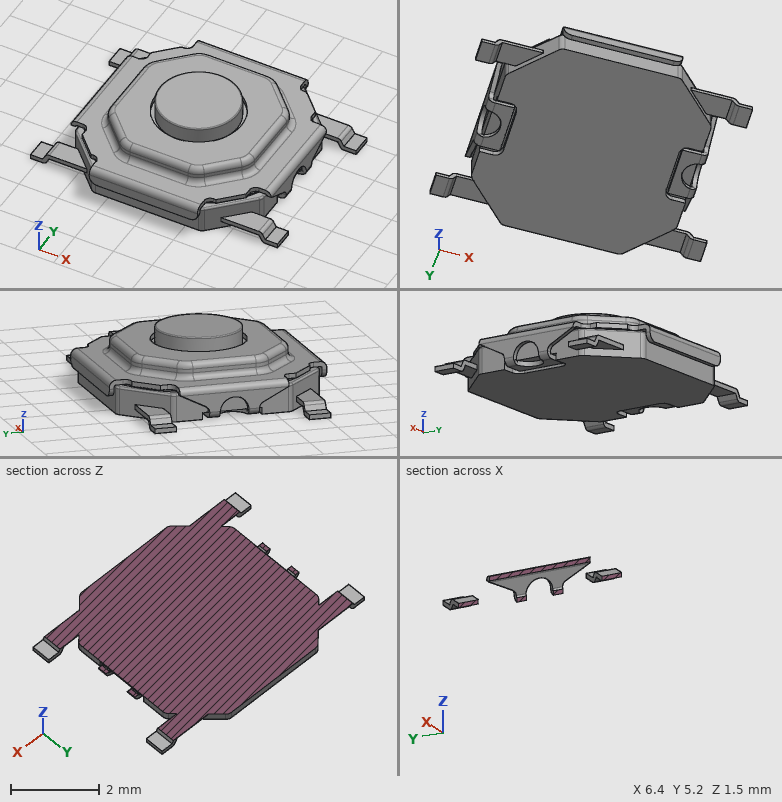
import cadquery as cq
import math


overall_length = 6.4
overall_height = 1.5
sheet = 0.115
corner_radius = 0.2

body_half = 2.43
body_diagonal = 3.84
body_top = 0.65
body_corner_radius = 0.18
body_edge_radius = 0.045
seat_radius = 2.6

cover_half = 2.6
cover_top = 0.805
cover_bottom = cover_top - sheet
bend_radius = 0.16
bend_start = cover_half - bend_radius
plate_diagonal = 3.745
relief_start = 2.125
relief_radius = 0.155
y_flange_half_width = 1.4
y_flange_bottom = 0.4
x_flange_half_width = 1.3
x_flange_shoulder = 0.65

hook_half_width = 0.595
hook_shoulder = 0.295
hook_taper_radius = 0.16
hook_bottom = 0.045
hook_end = 1.985
hook_hole_radius = 0.345
hook_hole_height = 0.17
hook_hole_offset = 2.495
pocket_half_width = 0.71
pocket_end = 1.92
pocket_top = hook_bottom + sheet

dome_half = 1.86
dome_corner_center = 0.755
dome_corner_radius = 0.48
dome_top = 1.2
dome_top_radius = 0.155
dome_foot_radius = 0.15

button_diameter = 2.0
button_edge_radius = 0.025
button_hole_diameter = 2.2

lead_width = 0.51
lead_center_y = 1.84
lead_foot_length = 0.315
lead_arm_bottom = 0.18
lead_bend_angle = 60.0
lead_inner_end = 1.6


def octagon_points(half, diagonal):
    """Corners of a square of the given half side with 45 degree cut corners."""
    short = diagonal - half
    return [
        (half, -short), (half, short), (short, half), (-short, half),
        (-half, short), (-half, -short), (-short, -half), (short, -half),
    ]


def octagon(half, diagonal, bottom, top):
    outline = cq.Workplane("XY", origin=(0, 0, bottom)).polyline(octagon_points(half, diagonal))
    return outline.close().extrude(top - bottom)


def make_body():
    body = octagon(body_half, body_diagonal, 0, body_top)
    body = body.edges("|Z").fillet(body_corner_radius)
    body = body.faces(">Z").edges().fillet(body_edge_radius)

    inset = body_edge_radius
    seat = octagon(body_half - inset, body_diagonal - inset, body_top - sheet, cover_bottom)
    seat = seat.intersect(cq.Workplane("XY").circle(seat_radius).extrude(cover_bottom))
    body = body.union(seat)

    pocket_reach = 2 * (body_half - pocket_end)
    for side in (-1, 1):
        pocket = (
            cq.Workplane("XY")
            .center(side * (pocket_end + pocket_reach / 2), 0)
            .rect(pocket_reach, 2 * pocket_half_width)
            .extrude(pocket_top)
            .edges("|Z")
            .fillet(corner_radius)
        )
        body = body.cut(pocket)
    return body


def make_plate():
    quarter = [
        (bend_start, x_flange_half_width),
        (relief_start, x_flange_half_width),
        (relief_start, plate_diagonal - relief_start),
        (plate_diagonal - relief_start, relief_start),
        (y_flange_half_width, relief_start),
        (y_flange_half_width, bend_start),
    ]
    left_quarter = [(-x, y) for x, y in reversed(quarter)]
    upper_half = quarter + left_quarter
    lower_half = [(-x, -y) for x, y in upper_half]
    plate = (
        cq.Workplane("XY", origin=(0, 0, cover_bottom))
        .polyline(upper_half + lower_half)
        .close()
        .extrude(sheet)
    )
    for x_side in (-1, 1):
        for y_side in (-1, 1):
            for x, y in ((relief_start, x_flange_half_width), (y_flange_half_width, relief_start)):
                corner = (x_side * x, y_side * y, cover_bottom + sheet / 2)
                plate = plate.edges(cq.selectors.NearestToPointSelector(corner)).fillet(relief_radius)
    return plate


def folded_strip(plane, half_width, bottom):
    """Sheet bent down from the plate edge, across both sides of the given plane."""
    inner = cover_half - sheet
    bend_height = cover_top - bend_radius
    outer_shift = bend_radius * math.sqrt(0.5)
    inner_shift = (bend_radius - sheet) * math.sqrt(0.5)
    return (
        cq.Workplane(plane)
        .moveTo(relief_start, cover_top)
        .lineTo(bend_start, cover_top)
        .threePointArc((bend_start + outer_shift, bend_height + outer_shift), (cover_half, bend_height))
        .lineTo(cover_half, bottom)
        .lineTo(inner, bottom)
        .lineTo(inner, bend_height)
        .threePointArc((bend_start + inner_shift, bend_height + inner_shift), (bend_start, cover_bottom))
        .lineTo(relief_start, cover_bottom)
        .close()
        .extrude(half_width, both=True)
    )


def make_y_flange():
    flange = folded_strip("YZ", y_flange_half_width, y_flange_bottom)
    return flange.faces("<Z").edges("|Y").fillet(corner_radius)


def make_x_flange():
    strip = folded_strip("XZ", x_flange_half_width, hook_bottom)
    hook_length = cover_half - hook_end
    hook = (
        cq.Workplane("XY", origin=(hook_end + hook_length / 2, 0, hook_bottom))
        .rect(hook_length, 2 * hook_half_width)
        .extrude(sheet)
    )
    flange = strip.union(hook)
    flange = flange.edges(">X and <Z").fillet(bend_radius)
    inside_bend = (cover_half - sheet, 0, pocket_top)
    flange = flange.edges(cq.selectors.NearestToPointSelector(inside_bend)).fillet(bend_radius - sheet)

    half_outline = [
        (x_flange_half_width, cover_top),
        (x_flange_half_width, x_flange_shoulder),
        (hook_half_width, hook_shoulder),
        (hook_half_width, 0),
    ]
    other_half = [(-y, z) for y, z in reversed(half_outline)]
    outline = cq.Workplane("YZ").polyline(half_outline + other_half).close().extrude(cover_half)
    for side in (-1, 1):
        shoulder = (cover_half / 2, side * hook_half_width, hook_shoulder)
        outline = outline.edges(cq.selectors.NearestToPointSelector(shoulder)).fillet(hook_taper_radius)
    flange = flange.intersect(outline)

    wall_hole = (
        cq.Workplane("YZ", origin=(bend_start, 0, 0))
        .center(0, hook_hole_height)
        .circle(hook_hole_radius)
        .extrude(bend_radius)
    )
    floor_hole = cq.Workplane("XY").center(hook_hole_offset, 0).circle(hook_hole_radius).extrude(pocket_top)
    return flange.cut(wall_hole).cut(floor_hole)


def make_dome_and_plate():
    center_far = dome_half - dome_corner_radius
    dome_diagonal = dome_corner_center + center_far + dome_corner_radius * math.sqrt(2)
    dome = octagon(dome_half, dome_diagonal, cover_bottom, dome_top)
    dome = dome.edges("|Z").fillet(dome_corner_radius)
    dome = dome.faces(">Z").edges().fillet(dome_top_radius)
    cover = make_plate().union(dome)
    margin = 0.005
    reach = dome_half + margin
    foot = cq.selectors.BoxSelector(
        (-reach, -reach, cover_top - margin), (reach, reach, cover_top + margin), boundingbox=True
    )
    return cover.edges(foot).fillet(dome_foot_radius)


def make_cover():
    cover = make_dome_and_plate()
    y_flange = make_y_flange()
    x_flange = make_x_flange()
    for angle in (0, 180):
        cover = cover.union(y_flange.rotate((0, 0, 0), (0, 0, 1), angle))
        cover = cover.union(x_flange.rotate((0, 0, 0), (0, 0, 1), angle))
    return cover


def add_button(switch):
    gap = (
        cq.Workplane("XY", origin=(0, 0, dome_top - sheet))
        .circle(button_hole_diameter / 2)
        .extrude(sheet)
    )
    button = cq.Workplane("XY", origin=(0, 0, cover_top)).circle(button_diameter / 2)
    button = button.extrude(overall_height - cover_top)
    button = button.faces(">Z").edges().fillet(button_edge_radius)
    return switch.cut(gap).union(button)


def make_lead():
    """Gull-wing lead pointing along +X; both bends turn about their sharp inner corners."""
    tip = overall_length / 2
    angle = math.radians(lead_bend_angle)
    rise = lead_arm_bottom - sheet
    foot_bend = tip - lead_foot_length
    arm_bend = foot_bend - (sheet + rise * math.cos(angle)) / math.sin(angle)
    slope_x = sheet * math.sin(angle)
    slope_z = sheet * math.cos(angle)
    middle_x = sheet * math.sin(angle / 2)
    middle_z = sheet * math.cos(angle / 2)
    arm_top = lead_arm_bottom + sheet
    return (
        cq.Workplane("XZ", origin=(0, lead_width / 2, 0))
        .moveTo(tip, 0)
        .lineTo(tip, sheet)
        .lineTo(foot_bend, sheet)
        .lineTo(arm_bend + slope_x, lead_arm_bottom + slope_z)
        .threePointArc((arm_bend + middle_x, lead_arm_bottom + middle_z), (arm_bend, arm_top))
        .lineTo(lead_inner_end, arm_top)
        .lineTo(lead_inner_end, lead_arm_bottom)
        .lineTo(arm_bend, lead_arm_bottom)
        .lineTo(foot_bend - slope_x, sheet - slope_z)
        .threePointArc((foot_bend - middle_x, sheet - middle_z), (foot_bend, 0))
        .close()
        .extrude(lead_width)
    )


result = add_button(make_body().union(make_cover()))
for turn in (0, 180):
    for lead_y in (-lead_center_y, lead_center_y):
        lead = make_lead().translate((0, lead_y, 0)).rotate((0, 0, 0), (0, 0, 1), turn)
        result = result.union(lead)